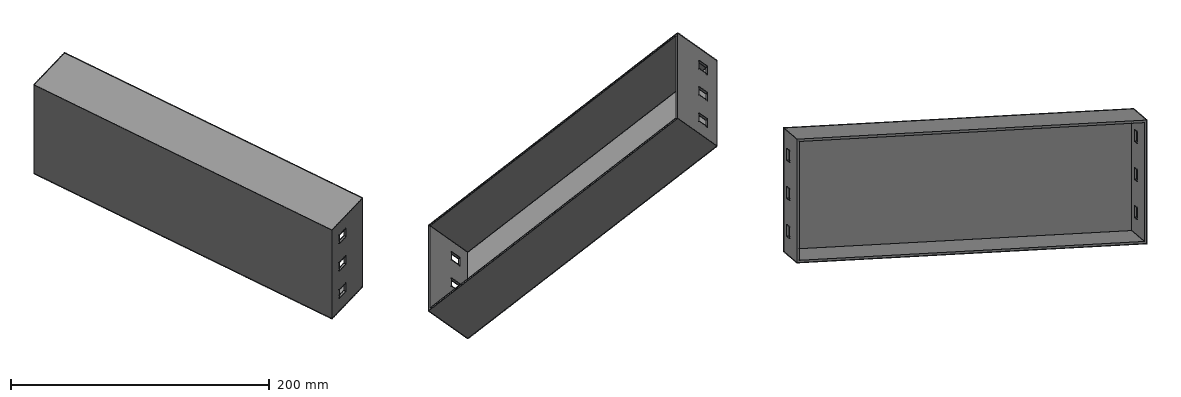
import cadquery as cq

length = 279.0
depth = 42.0
height = 98.0
wall = 2.0

hole_side = 9.2
hole_pitch = 30.0
hole_count = 3
hole_y = -6.5


def open_box():
    """Box centred on the origin with a uniform wall and no +Y wall."""
    return cq.Workplane("XY").box(length, depth, height).faces(">Y").shell(-wall)


def end_hole_cutter(hole_z):
    """Square bar along the full length that opens both end walls at one height."""
    bar = cq.Workplane("XY").box(length, hole_side, hole_side)
    return bar.translate((0, hole_y, hole_z))


result = open_box()
for index in range(hole_count):
    hole_z = (index - (hole_count - 1) / 2) * hole_pitch
    result = result.cut(end_hole_cutter(hole_z))